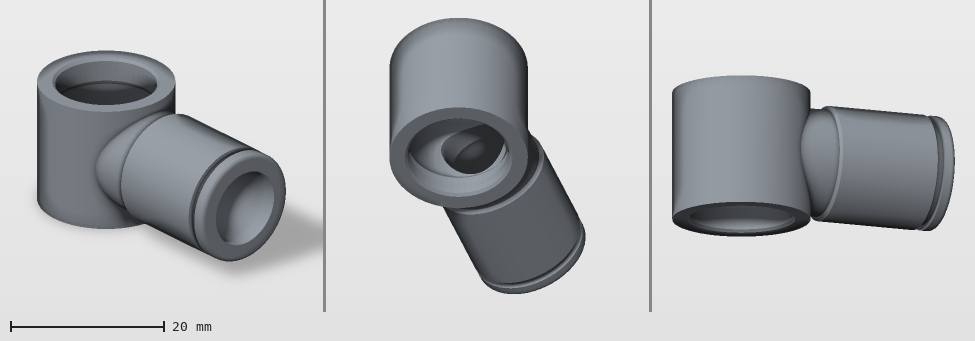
import cadquery as cq

RING_DIAMETER = 18.0
RING_HEIGHT = 17.0
LAND_DIAMETER = 13.3
MOUTH_DIAMETER = 14.0
RELIEF_DIAMETER = 14.0
MOUTH_CHAMFER = (MOUTH_DIAMETER - LAND_DIAMETER) / 2
LAND_DEPTH = 3.2
RELIEF_TAPER_HEIGHT = 0.6

NECK_DIAMETER = 14.0
SLEEVE_DIAMETER = 15.1
SLEEVE_START = 10.98
SLEEVE_END = 24.45
SLEEVE_CHAMFER = 0.32
PASSAGE_DIAMETER = 9.0
PASSAGE_END = 9.3
SOCKET_DIAMETER = 10.2

COLLAR_END = 27.0
FLANGE_START = 25.5
FLANGE_DIAMETER = 15.0
FLANGE_ROUND = 0.6
STEM_DIAMETER = 13.6
STEM_START = 20.85


def x_cylinder(diameter, start, end):
    """Solid cylinder along X between two X positions."""
    return cq.Workplane("YZ", origin=(start, 0, 0)).circle(diameter / 2).extrude(end - start)


def ring_bore():
    """Through bore with chamfered mouths and a wider, tapered middle."""
    top = RING_HEIGHT / 2
    land_end = top - LAND_DEPTH
    relief_end = land_end - RELIEF_TAPER_HEIGHT
    mouth = MOUTH_DIAMETER / 2
    land = LAND_DIAMETER / 2
    relief = RELIEF_DIAMETER / 2
    return (
        cq.Workplane("XZ")
        .moveTo(0, -top)
        .lineTo(mouth, -top)
        .lineTo(land, -top + MOUTH_CHAMFER)
        .lineTo(land, -land_end)
        .lineTo(relief, -relief_end)
        .lineTo(relief, relief_end)
        .lineTo(land, land_end)
        .lineTo(land, top - MOUTH_CHAMFER)
        .lineTo(mouth, top)
        .lineTo(0, top)
        .close()
        .revolve(360, (0, 0, 0), (0, 1, 0))
    )


def make_housing():
    """Banjo ring with its neck and sleeve, bored for flow and for the collar."""
    ring = cq.Workplane("XY").circle(RING_DIAMETER / 2).extrude(RING_HEIGHT / 2, both=True)
    neck = x_cylinder(NECK_DIAMETER, 0, SLEEVE_START)
    sleeve = x_cylinder(SLEEVE_DIAMETER, SLEEVE_START, SLEEVE_END).faces("<X").chamfer(SLEEVE_CHAMFER)
    passage = x_cylinder(PASSAGE_DIAMETER, 0, PASSAGE_END)
    socket = x_cylinder(SOCKET_DIAMETER, PASSAGE_END, SLEEVE_END)
    collar_seat = x_cylinder(STEM_DIAMETER, STEM_START, SLEEVE_END)
    outside = ring.union(neck).union(sleeve)
    return outside.cut(ring_bore()).cut(passage).cut(socket).cut(collar_seat)


def make_collar():
    """Flanged tube whose stem fills the seat in the sleeve."""
    stem = x_cylinder(STEM_DIAMETER, STEM_START, FLANGE_START)
    flange = x_cylinder(FLANGE_DIAMETER, FLANGE_START, COLLAR_END).faces(">X").edges().fillet(FLANGE_ROUND)
    tube_hole = x_cylinder(SOCKET_DIAMETER, STEM_START, COLLAR_END)
    return stem.union(flange).cut(tube_hole)


housing = make_housing()
collar = make_collar()
result = cq.Compound.makeCompound([housing.val(), collar.val()])